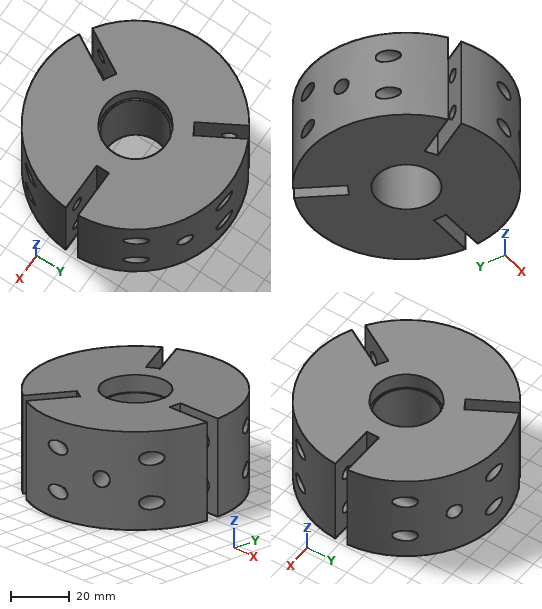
import cadquery as cq

BODY_DIAMETER = 78.0
BODY_HEIGHT = 36.35
BODY_RADIUS = BODY_DIAMETER / 2

BORE_DIAMETER = 24.0
COUNTERBORE_DIAMETER = 25.4
COUNTERBORE_DEPTH = 6.35

SLOT_COUNT = 3
SLOT_PITCH = 360 / SLOT_COUNT
SLOT_WIDTH = 5.0
SLOT_INNER_RADIUS = 20.0

CROSS_HOLE_DIAMETER = 5.0
CROSS_HOLE_OFFSET = 32.0
CROSS_HOLE_EDGE_DISTANCE = 10.0
CROSS_HOLE_HEIGHTS = (CROSS_HOLE_EDGE_DISTANCE, BODY_HEIGHT - CROSS_HOLE_EDGE_DISTANCE)

RADIAL_HOLE_DIAMETER = 6.0
RADIAL_HOLE_DEPTH = 15.0


def make_body():
    """Disc standing on the XY plane with a bore widened from the top."""
    body = cq.Workplane("XY").circle(BODY_RADIUS).extrude(BODY_HEIGHT)
    return body.faces(">Z").workplane().cboreHole(
        BORE_DIAMETER, COUNTERBORE_DIAMETER, COUNTERBORE_DEPTH
    )


def make_slot():
    """Full-height slot on the +X side, running out past the rim."""
    return cq.Workplane("XY").box(
        BODY_RADIUS, SLOT_WIDTH, BODY_HEIGHT, centered=(False, True, False)
    ).translate((SLOT_INNER_RADIUS, 0, 0))


def make_cross_holes():
    """Pair of holes parallel to Y, crossing the +X slot from rim to rim."""
    centers = [(CROSS_HOLE_OFFSET, height) for height in CROSS_HOLE_HEIGHTS]
    return (
        cq.Workplane("XZ")
        .pushPoints(centers)
        .circle(CROSS_HOLE_DIAMETER / 2)
        .extrude(BODY_RADIUS, both=True)
    )


def make_radial_hole():
    """Flat-bottomed hole at mid height, entering the rim from -X."""
    return (
        cq.Workplane("YZ", origin=(-BODY_RADIUS, 0, BODY_HEIGHT / 2))
        .circle(RADIAL_HOLE_DIAMETER / 2)
        .extrude(RADIAL_HOLE_DEPTH)
    )


result = make_body()
for index in range(SLOT_COUNT):
    angle = index * SLOT_PITCH
    for cutter in (make_slot(), make_cross_holes(), make_radial_hole()):
        result = result.cut(cutter.rotate((0, 0, 0), (0, 0, 1), angle))